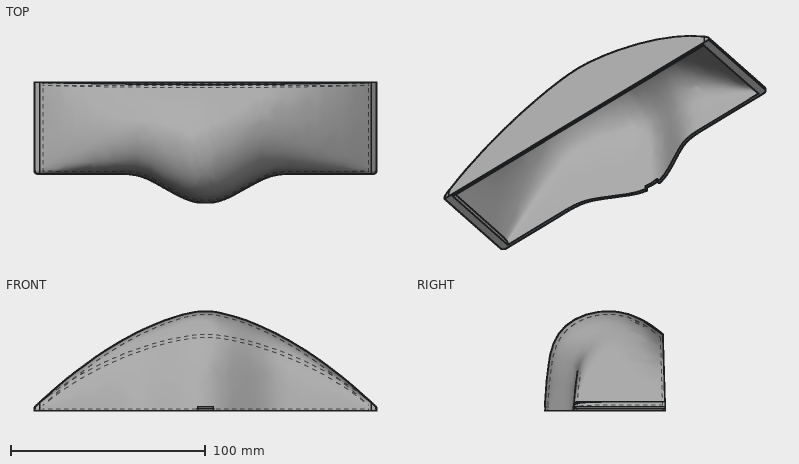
import cadquery as cq
import math

length = 176.0
notch_depth = 62.06
height = 51.2
wall = 1.5

lip_length = 3.0
end_height = 4.6
side_depth = 47.2
bulge_half_width = 41.0
crown_curvature = 0.00428
crown_rounding = 10.0
back_sag = 11.8
sag_fade_power = 1.3
front_draft = math.radians(4.0)
back_draft = math.radians(1.8)
section_spacing = 8.5

wall_shares = (0, 0.29, 0.67, 0.76)
shoulder_start = 0.063
shoulder_end = 0.557
crown_share = 0.27
shoulder_lift = 0.137
crown_lift = 0.477

lip_top = 2.1
lip_side_height = 1.2
lip_bevel = 0.4
lip_corner_radius = 2.0
clearance = 0.1

notch_width = 8.0
notch_height = 2.1
rim_bevel = 1.0

half_length = length / 2
depth = notch_depth + notch_height * math.tan(front_draft)
body_half = half_length - lip_length


def crown_hyperbola(x):
    return math.hypot(x, crown_rounding) - crown_rounding


def crown_height(x):
    """Highest point of the outer section at x: a parabola plus a hyperbola."""
    end_drop = height - end_height - crown_curvature * body_half ** 2
    slope = end_drop / crown_hyperbola(body_half)
    return height - crown_curvature * x ** 2 - slope * crown_hyperbola(x)


def front_depth(x):
    """Depth of the outer rim at x: a straight side with a raised cosine bulge."""
    if abs(x) >= bulge_half_width:
        return side_depth
    bulge = (1 + math.cos(math.pi * x / bulge_half_width)) / 2
    return side_depth + (depth - side_depth) * bulge


def section(x, half_span, inset):
    """Closed YZ outline at x, moved inward by inset.

    Front wall, shoulder and crown form one Bezier curve, so the lofted skin has no seams.
    The outline keeps the heights of the outer body, compressed into half_span along X.
    """
    outer_height = crown_height(x * body_half / half_span)
    top = outer_height - inset
    front = -front_depth(x) + inset
    back = -inset
    fullness = max(0, (outer_height - end_height) / (height - end_height))
    sag = back_sag * fullness ** sag_fade_power
    back_top = top - sag
    back_edge_y = back - back_top * math.tan(back_draft)

    def on_wall(share):
        return front + top * share * math.tan(front_draft), top * share

    shoulder_top = top + shoulder_lift * sag
    shoulder_start_y = on_wall(1)[0] + shoulder_start * top
    shoulder_end_y = on_wall(1)[0] + shoulder_end * top
    crown_y = shoulder_end_y + crown_share * (back_edge_y - shoulder_end_y)
    poles = [on_wall(share) for share in wall_shares]
    poles += [
        (shoulder_start_y, shoulder_top),
        (shoulder_end_y, shoulder_top),
        (crown_y, top + crown_lift * sag),
        (back_edge_y, back_top),
    ]
    skin = cq.Edge.makeBezier([cq.Vector(x, y, z) for y, z in poles])
    front_foot = cq.Vector(x, front, 0)
    back_foot = cq.Vector(x, back, 0)
    back_edge = cq.Vector(x, back_edge_y, back_top)
    return cq.Wire.assembleEdges(
        [
            cq.Edge.makeLine(back_foot, front_foot),
            skin,
            cq.Edge.makeLine(back_edge, back_foot),
        ]
    )


def loft_body(half_span, inset):
    steps = round(half_span / section_spacing)
    stations = [half_span * i / steps for i in range(-steps, steps + 1)]
    return cq.Workplane(cq.Solid.makeLoft([section(x, half_span, inset) for x in stations]))


def end_lip(side):
    """Solid strip that carries the slope of the body down to the rim; side is -1 or 1."""
    profile = [
        (body_half, 0),
        (half_length, 0),
        (half_length, lip_side_height),
        (half_length - lip_bevel, lip_top),
        (body_half, end_height),
    ]
    lip = (
        cq.Workplane("XZ")
        .polyline([(side * x, z) for x, z in profile])
        .close()
        .extrude(side_depth)
    )
    near_corner = (side * (body_half + clearance), -side_depth - clearance, clearance)
    far_corner = (side * (half_length + clearance), -side_depth + clearance, end_height)
    outer_edges = lip.edges(cq.selectors.BoxSelector(near_corner, far_corner))
    return outer_edges.fillet(lip_corner_radius)


def notch():
    """Opening through the front wall at the middle of the rim."""
    return cq.Workplane("XY").box(
        notch_width, depth - side_depth, notch_height, centered=(True, False, False)
    ).translate((0, -depth, 0))


def back_rim_bevel(half_span):
    return (
        cq.Workplane("YZ", origin=(-half_span, 0, 0))
        .polyline([(-wall, 0), (-wall + rim_bevel, 0), (-wall, rim_bevel)])
        .close()
        .extrude(2 * half_span)
    )


cavity_half = body_half - wall
hood = loft_body(body_half, 0)
for side in (-1, 1):
    hood = hood.union(end_lip(side))
hood = hood.cut(loft_body(cavity_half, wall))
hood = hood.cut(back_rim_bevel(cavity_half))
result = hood.cut(notch())